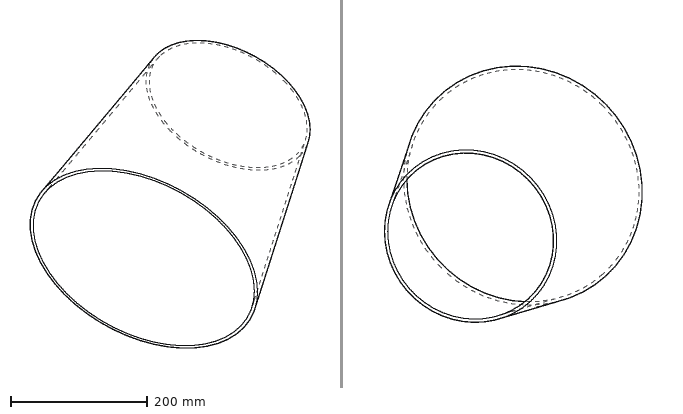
import cadquery as cq

large_diameter = 360.0
small_diameter = 260.0
length = 330.0
wall = 5.0

large_radius = large_diameter / 2
small_radius = small_diameter / 2

wall_section = (
    cq.Workplane("XY")
    .moveTo(large_radius - wall, 0)
    .lineTo(large_radius, 0)
    .lineTo(small_radius, length)
    .lineTo(small_radius - wall, length)
    .close()
)

result = wall_section.revolve(360, (0, 0, 0), (0, 1, 0))